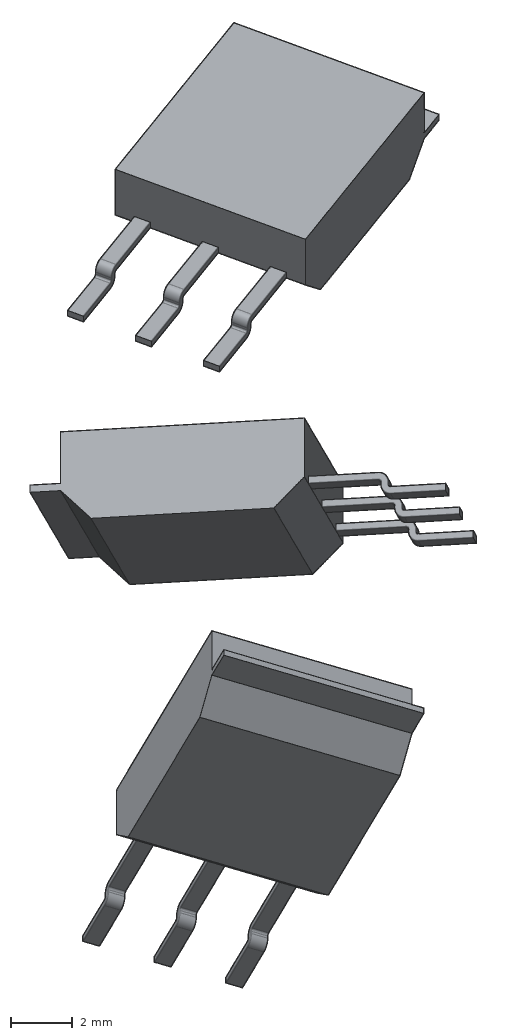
import cadquery as cq
import math

BODY_WIDTH = 7.0
BODY_LENGTH = 8.0
BODY_HEIGHT = 3.0
BEVEL = 1.0

SHEET_THICKNESS = 0.25
SHEET_BOTTOM = BEVEL
SHEET_TOP = SHEET_BOTTOM + SHEET_THICKNESS
TAB_LENGTH = 1.0

LEAD_COUNT = 3
LEAD_PITCH = 2.5
LEAD_WIDTH = 0.6
LEAD_REACH = 4.5
LEAD_DROP = 0.5
RISER_CENTER = 2.5
INNER_RADIUS = 0.075
EDGE_FILLET = 0.02
OUTER_RADIUS = INNER_RADIUS + SHEET_THICKNESS

FRONT = -BODY_LENGTH / 2
BACK = BODY_LENGTH / 2


def extrude_across(profile, width, center_x=0.0):
    """Extrude a closed YZ profile along X, centred on center_x."""
    return profile.extrude(width / 2, both=True).translate((center_x, 0, 0))


def make_body():
    profile = (
        cq.Workplane("YZ")
        .moveTo(FRONT + BEVEL, 0)
        .lineTo(BACK - BEVEL, 0)
        .lineTo(BACK, BEVEL)
        .lineTo(BACK, BODY_HEIGHT)
        .lineTo(FRONT, BODY_HEIGHT)
        .lineTo(FRONT, BEVEL)
        .close()
    )
    return extrude_across(profile, BODY_WIDTH)


def make_tab():
    """Full-width tab behind the body, rooted inside it so the two fuse."""
    root = BACK - TAB_LENGTH
    profile = (
        cq.Workplane("YZ")
        .moveTo(root, SHEET_BOTTOM)
        .lineTo(BACK + TAB_LENGTH, SHEET_BOTTOM)
        .lineTo(BACK + TAB_LENGTH, SHEET_TOP)
        .lineTo(root, SHEET_TOP)
        .close()
    )
    return extrude_across(profile, BODY_WIDTH)


def arc_middle(center_y, center_z, radius, side):
    """Midpoint of a quarter arc; side -1 is toward the lead tip and up, +1 toward the body and down."""
    offset = side * radius * math.sqrt(0.5)
    return (center_y + offset, center_z - offset)


def make_lead(center_x):
    """Gull-wing lead: flat, quarter bend down, short riser, quarter bend out, foot."""
    root = FRONT + BEVEL
    tip = FRONT - LEAD_REACH
    foot_top = SHEET_TOP - LEAD_DROP
    foot_bottom = SHEET_BOTTOM - LEAD_DROP

    riser_outer = FRONT - RISER_CENTER - SHEET_THICKNESS / 2
    riser_inner = riser_outer + SHEET_THICKNESS

    upper_y = riser_inner + INNER_RADIUS
    upper_z = SHEET_TOP - OUTER_RADIUS
    lower_y = riser_outer - INNER_RADIUS
    lower_z = foot_bottom + OUTER_RADIUS

    profile = (
        cq.Workplane("YZ")
        .moveTo(root, SHEET_TOP)
        .lineTo(upper_y, SHEET_TOP)
        .threePointArc(arc_middle(upper_y, upper_z, OUTER_RADIUS, -1), (riser_outer, upper_z))
        .lineTo(riser_outer, lower_z)
        .threePointArc(arc_middle(lower_y, lower_z, INNER_RADIUS, 1), (lower_y, foot_top))
        .lineTo(tip, foot_top)
        .lineTo(tip, foot_bottom)
        .lineTo(lower_y, foot_bottom)
        .threePointArc(arc_middle(lower_y, lower_z, OUTER_RADIUS, 1), (riser_inner, lower_z))
        .lineTo(riser_inner, upper_z)
        .threePointArc(arc_middle(upper_y, upper_z, INNER_RADIUS, -1), (upper_y, SHEET_BOTTOM))
        .lineTo(root, SHEET_BOTTOM)
        .close()
    )
    lead = extrude_across(profile, LEAD_WIDTH, center_x)

    middle_y = (root + upper_y) / 2
    for edge_x in (center_x - LEAD_WIDTH / 2, center_x + LEAD_WIDTH / 2):
        for edge_z in (SHEET_BOTTOM, SHEET_TOP):
            long_edge = cq.selectors.NearestToPointSelector((edge_x, middle_y, edge_z))
            lead = lead.edges(long_edge).fillet(EDGE_FILLET)
    return lead


result = make_body().union(make_tab())
for index in range(LEAD_COUNT):
    lead_x = (index - (LEAD_COUNT - 1) / 2) * LEAD_PITCH
    result = result.union(make_lead(lead_x))